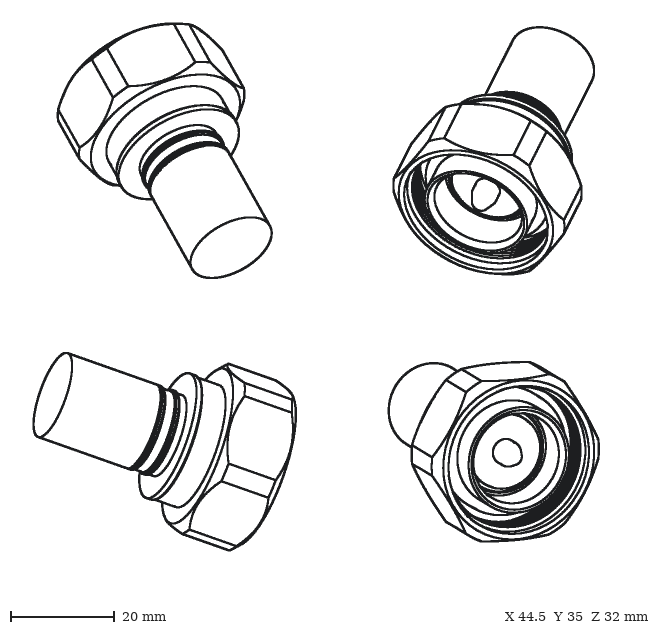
import cadquery as cq
import math


NUT_LENGTH = 13.5
NUT_ACROSS_FLATS = 32.0
NUT_CORNER_RADIUS = 17.5
NUT_FACE_RADIUS = 15.8
NUT_CHAMFER = NUT_CORNER_RADIUS - NUT_FACE_RADIUS
HEX_CORNER_DIAMETER = NUT_ACROSS_FLATS / math.cos(math.pi / 6)

ENTRY_RADIUS = 14.7
ENTRY_DEPTH = 1.8
THREAD_RADIUS = 13.95
THREAD_START = 2.4
THREAD_RIDGES = 7
RIDGE_SPACING = 0.75
THREAD_DEPTH = 0.65
RELIEF_RADIUS = THREAD_RADIUS + THREAD_DEPTH
CAVITY_DEPTH = 9.0

TUBE_RADIUS = 10.5
TUBE_RIM_INNER_RADIUS = 9.9
TUBE_BORE_RADIUS = 8.95
TUBE_BORE_CHAMFER_LENGTH = 1.3
TUBE_BORE_DEPTH = 7.8
BODY_FRONT = 5.5
BODY_FACE_INNER_RADIUS = 11.0
BODY_RECESS_DEPTH = 0.12
BODY_ROUND = 0.95

SEAT_RADIUS = 8.4
SEAT_CHAMFER = 0.2
INSULATOR_RADIUS = 7.4
INSULATOR_FACE = 6.95

PIN_TIP = 2.0
PIN_TIP_RADIUS = 1.5
PIN_TIP_ROUND = 0.25
PIN_SHOULDER = 4.75
PIN_RADIUS = 2.5
PIN_SHOULDER_ROUND = 0.6

SHOULDER_RADIUS = 12.5
FLANGE_RADIUS = 12.75
FLANGE_FRONT = 18.5
FLANGE_END = 19.85
NECK_RADIUS = 8.3
SLEEVE_RADIUS = 8.6
SLEEVE_START = 25.5
TOTAL_LENGTH = 44.5
RING_CHAMFER = SLEEVE_RADIUS - NECK_RADIUS
RING_STARTS = (21.3, 24.35)
RING_WIDTH = 1.1


def revolve(points):
    """Turn a closed (x, radius) outline around the X axis."""
    return cq.Workplane("XY").polyline(points).close().revolve(360, (0, 0, 0), (1, 0, 0))


def nut_blank():
    hexagon = cq.Workplane("YZ").polygon(6, HEX_CORNER_DIAMETER).extrude(NUT_LENGTH)
    envelope = revolve([
        (0, 0),
        (0, NUT_FACE_RADIUS),
        (NUT_CHAMFER, NUT_CORNER_RADIUS),
        (NUT_LENGTH - NUT_CHAMFER, NUT_CORNER_RADIUS),
        (NUT_LENGTH, NUT_FACE_RADIUS),
        (NUT_LENGTH, 0),
    ])
    return hexagon.intersect(envelope)


def nut_cavity():
    outline = [(0, 0), (0, ENTRY_RADIUS), (ENTRY_DEPTH, ENTRY_RADIUS)]
    for index in range(THREAD_RIDGES):
        crest = THREAD_START + index * RIDGE_SPACING
        outline += [
            (crest, THREAD_RADIUS),
            (crest + RIDGE_SPACING / 2, RELIEF_RADIUS),
        ]
    outline += [
        (CAVITY_DEPTH, RELIEF_RADIUS),
        (CAVITY_DEPTH, 0),
    ]
    return revolve(outline)


def contact_tube():
    seat_floor = TUBE_BORE_DEPTH + SEAT_CHAMFER
    round_start_radius = SHOULDER_RADIUS - BODY_ROUND
    outline = (
        cq.Workplane("XY")
        .moveTo(0, TUBE_RIM_INNER_RADIUS)
        .lineTo(0, TUBE_RADIUS)
        .lineTo(BODY_FRONT + BODY_RECESS_DEPTH, TUBE_RADIUS)
        .lineTo(BODY_FRONT, BODY_FACE_INNER_RADIUS)
        .lineTo(BODY_FRONT, round_start_radius)
        .radiusArc((BODY_FRONT + BODY_ROUND, SHOULDER_RADIUS), BODY_ROUND)
        .lineTo(CAVITY_DEPTH, SHOULDER_RADIUS)
        .lineTo(CAVITY_DEPTH, 0)
        .lineTo(INSULATOR_FACE, 0)
        .lineTo(INSULATOR_FACE, INSULATOR_RADIUS)
        .lineTo(seat_floor, INSULATOR_RADIUS)
        .lineTo(seat_floor, SEAT_RADIUS - SEAT_CHAMFER)
        .lineTo(TUBE_BORE_DEPTH, SEAT_RADIUS)
        .lineTo(TUBE_BORE_DEPTH, TUBE_BORE_RADIUS)
        .lineTo(TUBE_BORE_CHAMFER_LENGTH, TUBE_BORE_RADIUS)
        .close()
    )
    return outline.revolve(360, (0, 0, 0), (1, 0, 0))


def centre_pin():
    pin = revolve([
        (PIN_TIP, 0),
        (PIN_TIP, PIN_TIP_RADIUS),
        (PIN_SHOULDER, PIN_RADIUS),
        (CAVITY_DEPTH, PIN_RADIUS),
        (CAVITY_DEPTH, 0),
    ])
    pin = pin.faces("%CONE").edges(">X").fillet(PIN_SHOULDER_ROUND)
    return pin.faces("<X").edges().fillet(PIN_TIP_ROUND)


def neck_ring(start):
    end = start + RING_WIDTH
    return [
        (start, NECK_RADIUS),
        (start + RING_CHAMFER, SLEEVE_RADIUS),
        (end - RING_CHAMFER, SLEEVE_RADIUS),
        (end, NECK_RADIUS),
    ]


def rear_body():
    flange_step = FLANGE_RADIUS - SHOULDER_RADIUS
    outline = [
        (CAVITY_DEPTH, 0),
        (CAVITY_DEPTH, SHOULDER_RADIUS),
        (FLANGE_FRONT, SHOULDER_RADIUS),
        (FLANGE_FRONT + flange_step, FLANGE_RADIUS),
        (FLANGE_END, FLANGE_RADIUS),
        (FLANGE_END, NECK_RADIUS),
    ]
    for start in RING_STARTS:
        outline += neck_ring(start)
    outline += [
        (SLEEVE_START, NECK_RADIUS),
        (SLEEVE_START, SLEEVE_RADIUS),
        (TOTAL_LENGTH, SLEEVE_RADIUS),
        (TOTAL_LENGTH, 0),
    ]
    return revolve(outline)


nut = nut_blank().cut(nut_cavity())
result = nut.union(rear_body()).union(contact_tube()).union(centre_pin())